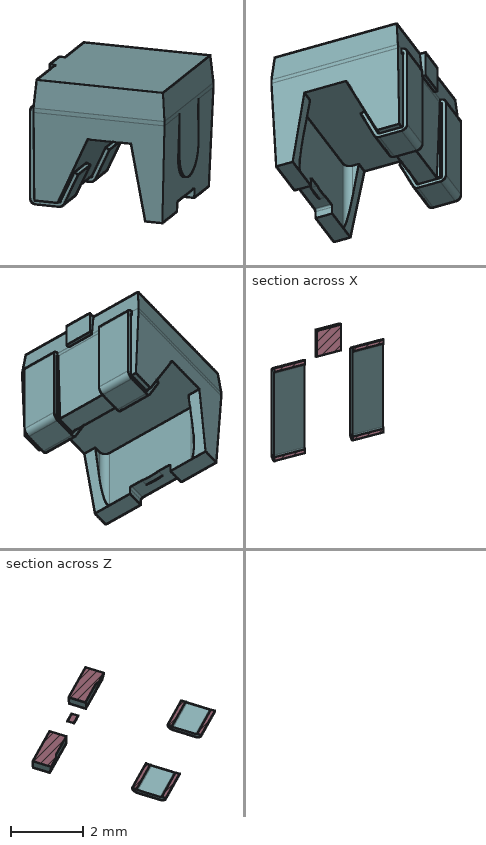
import cadquery as cq
import math

body_length = 3.85
body_width = 4.0
cap_height = 0.8
band_bottom_z = 2.845
sheet = 0.125
cap_bottom_z = band_bottom_z + sheet
cap_draft = 5.0
body_draft = 2.0

back_x = -body_length / 2
front_x = body_length / 2

short_leg_z = 0.275
short_leg_length = 0.68
short_leg_slope = 25.0
long_leg_start = 3.246
long_leg_inner_x = back_x + long_leg_start
long_leg_slope = 10.0
opening_top_z = 2.22

clip_width = 1.0
clip_center_y = 1.275
clip_overhang = 0.18
clip_gap = 0.025
clip_tip_z = 1.166
bend_inner_radius = 0.05
bend_outer_radius = bend_inner_radius + sheet
corner_tolerance = sheet / 4

tab_width = 0.8
tab_overhang = 0.1
recess_width = 1.51
notch_width = 1.39
notch_top_z = 0.285
notch_corner_radius = 0.06
pocket_width = 3.2
pocket_corner_radius = 0.2
window_center_z = 1.6
window_radius = 0.766
disc_radius = 1.345
disc_thickness = 0.2


def slope_run(angle, height):
    """Horizontal distance covered by a face leaning 'angle' degrees from vertical."""
    return height * math.tan(math.radians(angle))


def box(x_min, x_max, width, z_min, z_max):
    """Block between the given X and Z limits, centred on Y = 0."""
    return (
        cq.Workplane("XY")
        .box(x_max - x_min, width, z_max - z_min, centered=(False, True, False))
        .translate((x_min, 0, z_min))
    )


def extrude_across(profile, width):
    """Extrude an XZ outline by 'width', centred on Y = 0."""
    return profile.extrude(width / 2, both=True)


def make_cap():
    """Tapered cap with a vertical tab on its back face."""
    cap = (
        cq.Workplane("XY", origin=(0, 0, cap_bottom_z))
        .rect(body_length, body_width)
        .extrude(cap_height, taper=cap_draft)
    )
    tab = box(back_x - tab_overhang, 0, tab_width, cap_bottom_z, cap_bottom_z + cap_height)
    return cap.union(tab)


def make_legs():
    """Two-legged side outline, narrowed in Y by the body draft."""
    short_leg_end_x = back_x + short_leg_length
    side_outline = cq.Workplane("XZ").polyline([
        (back_x, band_bottom_z),
        (back_x, short_leg_z),
        (short_leg_end_x, short_leg_z),
        (short_leg_end_x + slope_run(short_leg_slope, opening_top_z - short_leg_z), opening_top_z),
        (long_leg_inner_x - slope_run(long_leg_slope, opening_top_z), opening_top_z),
        (long_leg_inner_x, 0),
        (front_x - slope_run(body_draft, band_bottom_z), 0),
        (front_x, band_bottom_z),
    ]).close()
    half_top = body_width / 2
    half_bottom = half_top - slope_run(body_draft, band_bottom_z)
    drafted_envelope = (
        cq.Workplane("YZ")
        .polyline([
            (-half_bottom, 0),
            (half_bottom, 0),
            (half_top, band_bottom_z),
            (-half_top, band_bottom_z),
        ])
        .close()
        .extrude(body_length / 2, both=True)
    )
    return extrude_across(side_outline, body_width).intersect(drafted_envelope)


def make_leg_pocket():
    """Relief with a vertical wall, open to the space between the legs."""
    pocket = box(0, long_leg_inner_x, pocket_width, 0, opening_top_z)
    return pocket.edges("|Z and >X").fillet(pocket_corner_radius)


def make_notch():
    """Round-cornered gap in the lower end of the long leg."""
    notch = box(0, front_x, notch_width, 0, notch_top_z)
    return notch.edges("|X and >Z").fillet(notch_corner_radius)


def make_disc():
    """Disc along X whose lowest part just shows below the top of the notch."""
    return (
        cq.Workplane("YZ", origin=(long_leg_inner_x, 0, window_center_z))
        .circle(disc_radius)
        .extrude(disc_thickness)
    )


def make_recess():
    """Wedge that gives the panel between the clips the body draft."""
    wedge = cq.Workplane("XZ").polyline([
        (back_x, band_bottom_z),
        (back_x, short_leg_z),
        (back_x + slope_run(body_draft, band_bottom_z - short_leg_z), short_leg_z),
    ]).close()
    return extrude_across(wedge, recess_width)


def make_window():
    """Raised window on the drafted front: straight sides and a half-round lower end."""
    return (
        cq.Workplane("YZ", origin=(long_leg_inner_x, 0, 0))
        .moveTo(-window_radius, band_bottom_z)
        .lineTo(-window_radius, window_center_z)
        .threePointArc((0, window_center_z - window_radius), (window_radius, window_center_z))
        .lineTo(window_radius, band_bottom_z)
        .close()
        .extrude(front_x - long_leg_inner_x)
    )


def bend_edge(x, z):
    """Selector for the single clip edge running along Y through (x, z)."""
    return cq.selectors.BoxSelector(
        (x - corner_tolerance, -clip_width, z - corner_tolerance),
        (x + corner_tolerance, clip_width, z + corner_tolerance),
    )


def make_clip(y_center):
    """Bent strip: out of the band, down the back, under the short leg and up its slope."""
    slope = math.radians(short_leg_slope)
    inner_x = back_x - clip_overhang + sheet
    inner_z = short_leg_z - clip_gap

    def slope_point(offset, z):
        """Point at height z on a line parallel to the leg slope, 'offset' away from it."""
        run = slope_run(short_leg_slope, z - short_leg_z)
        return (back_x + short_leg_length + run + offset / math.cos(slope), z)

    tip_outer_z = clip_tip_z - sheet * math.sin(slope)
    outline = cq.Workplane("XZ").polyline([
        (0, cap_bottom_z),
        (inner_x - sheet, cap_bottom_z),
        (inner_x - sheet, inner_z - sheet),
        slope_point(clip_gap + sheet, inner_z - sheet),
        slope_point(clip_gap + sheet, tip_outer_z),
        slope_point(clip_gap, clip_tip_z),
        slope_point(clip_gap, inner_z),
        (inner_x, inner_z),
        (inner_x, band_bottom_z),
        (0, band_bottom_z),
    ]).close()
    clip = extrude_across(outline, clip_width)

    inner_bends = [(inner_x, band_bottom_z), (inner_x, inner_z), slope_point(clip_gap, inner_z)]
    outer_bends = [
        (inner_x - sheet, cap_bottom_z),
        (inner_x - sheet, inner_z - sheet),
        slope_point(clip_gap + sheet, inner_z - sheet),
    ]
    for bends, radius in ((inner_bends, bend_inner_radius), (outer_bends, bend_outer_radius)):
        for x, z in bends:
            clip = clip.edges(bend_edge(x, z)).fillet(radius)
    return clip.translate((0, y_center, 0))


band = box(back_x, front_x, body_width, band_bottom_z, cap_bottom_z)
legs = make_legs().cut(make_leg_pocket()).cut(make_notch()).cut(make_recess())
result = make_cap().union(band).union(legs).union(make_disc()).union(make_window())
for side in (-1, 1):
    result = result.union(make_clip(side * clip_center_y))